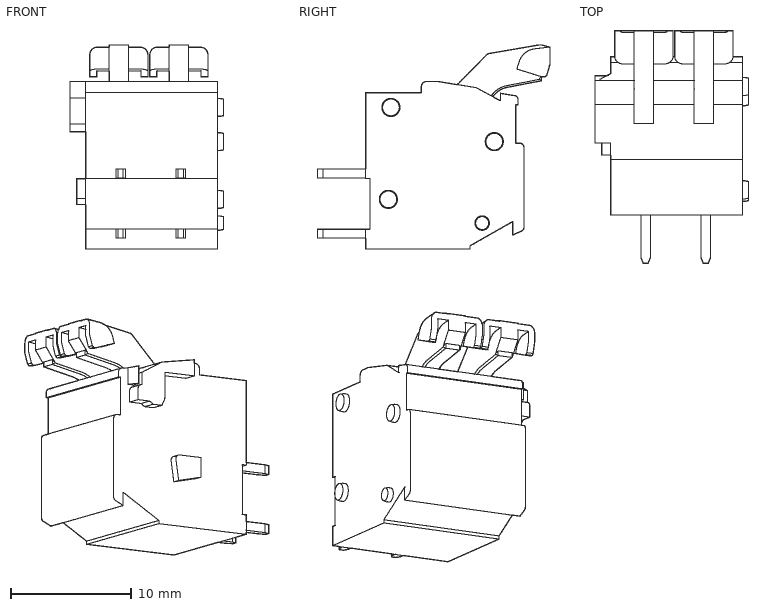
import cadquery as cq


body_width = 11.0
deck_height = 13.05
ridge_height = 13.97
ridge_radius = 0.47
ridge_back = 4.63
ridge_front = 6.0
roof_bend = (9.2, 13.45)
roof_foot = (11.22, 12.36)
lip_top = 12.98
lip_front = 12.71
lip_radius = 0.39
lip_bottom = 12.02
neck_front = 12.52
belly_front = 13.2
belly_top = 8.84
belly_radius = 0.39
belly_bottom = 1.76
hook_chin = (12.93, 1.47)
hook_tip = (12.25, 1.16)
hook_root_height = 2.29
base_front = 8.7
base_step = 0.27
recess_depth = 0.37
recess_bottom = 1.67
recess_top = 5.87

pole_count = 2
pole_pitch = 5.0
lever_center = 2.77
arm_width = 1.63
arm_edge_chamfer = 0.15
cap_width = 4.86
cap_wall = 0.6
cap_edge_radius = 0.68
cap_corner_radius = 1.53
cap_hollow_shift = (0.47, -0.55)
lever_end = 15.37
lever_peak = (14.57, 17.04)
lever_peak_radius = 0.72
lever_knee = (10.17, 16.28)
lever_knee_radius = 0.43
lever_elbow = (11.0, 13.31)
lever_elbow_radius = 1.86

pin_center = 2.93
pin_width = 0.81
pin_thickness = 0.75
pin_length = 4.01
pin_taper_length = 0.48
pin_tip_width = 0.43
pin_heights = (1.3, 1.3 + pole_pitch)
pin_embed = 0.78

ear_width = 1.3
ear_back = ridge_front
ear_bottom = 9.77
gusset_width = 0.87
gusset_bottom = 11.5
tab_width = 0.74
nub_length = 0.48
nub_straight = 0.2
nub_draft = 0.05
large_nub_radius = 0.75
small_nub_radius = 0.6
nubs = (
    (2.11, 11.8, large_nub_radius),
    (10.72, 8.95, large_nub_radius),
    (1.9, 4.15, large_nub_radius),
    (9.7, 2.17, small_nub_radius),
)


def side_plane(x):
    """YZ sketch plane at the given X; local x is Y and local y is Z."""
    return cq.Workplane("YZ", origin=(x, 0, 0))


def edges_centered_in(y_range, z_range):
    """Selector for edges whose center lies in the given Y and Z ranges."""
    return cq.selectors.BoxSelector(
        (-body_width, y_range[0], z_range[0]),
        (2 * body_width, y_range[1], z_range[1]),
    )


def make_housing():
    lip_round_start = (12.29, 12.81)
    return (
        side_plane(0)
        .lineTo(0, recess_bottom)
        .lineTo(recess_depth, recess_bottom)
        .lineTo(recess_depth, recess_top)
        .lineTo(0, recess_top)
        .lineTo(0, deck_height)
        .lineTo(ridge_back, deck_height)
        .lineTo(ridge_back, ridge_height - ridge_radius)
        .radiusArc((ridge_back + ridge_radius, ridge_height), ridge_radius)
        .lineTo(ridge_front, ridge_height)
        .lineTo(*roof_bend)
        .lineTo(*roof_foot)
        .lineTo(roof_foot[0], lip_top)
        .lineTo(*lip_round_start)
        .radiusArc((lip_front, lip_round_start[1] - lip_radius), lip_radius)
        .lineTo(lip_front, lip_bottom)
        .lineTo(neck_front, lip_bottom)
        .lineTo(neck_front, belly_top)
        .lineTo(belly_front - belly_radius, belly_top)
        .radiusArc((belly_front, belly_top - belly_radius), belly_radius)
        .lineTo(belly_front, belly_bottom)
        .radiusArc(hook_chin, belly_radius)
        .lineTo(*hook_tip)
        .lineTo(hook_tip[0], hook_root_height)
        .lineTo(base_front, base_step)
        .lineTo(base_front, 0)
        .close()
        .extrude(body_width)
    )


def make_ear():
    """Side extension of the roof, with a leg reaching down beside the neck."""
    leg_back = 8.91
    leg_front = 11.6
    floor = 12.6
    leg_bottom = 10.0
    leg_radius = leg_front - roof_foot[0]
    leg_shoulder = 10.95
    return (
        side_plane(-ear_width)
        .moveTo(ear_back, floor)
        .lineTo(ear_back, ridge_height)
        .lineTo(*roof_bend)
        .lineTo(*roof_foot)
        .lineTo(roof_foot[0], leg_shoulder + leg_radius)
        .radiusArc((leg_front, leg_shoulder), leg_radius)
        .lineTo(leg_front, leg_bottom)
        .lineTo(10.47, leg_bottom)
        .lineTo(10.12, ear_bottom)
        .lineTo(9.25, ear_bottom)
        .lineTo(leg_back, 10.43)
        .lineTo(leg_back, floor)
        .close()
        .extrude(ear_width)
    )


def make_gusset(housing):
    """Small wedge that carries the lip out behind the ear, with its top in line with the lip."""
    root = (0, 11.78)
    tip = (-gusset_width, 11.32)
    wedge = (
        cq.Workplane("XY", origin=(0, 0, gusset_bottom))
        .polyline([root, tip, (-gusset_width, roof_foot[0]), (0, roof_foot[0])])
        .close()
        .extrude(lip_top - gusset_bottom)
    )
    return wedge.intersect(housing.translate((-body_width, 0, 0)))


def make_tab():
    """Lug on the left wall with one rounded upper corner."""
    back = 5.0
    corner_radius = 0.37
    return (
        side_plane(-tab_width)
        .moveTo(back, recess_top)
        .lineTo(back, 4.2)
        .lineTo(7.2, 3.7)
        .lineTo(7.48, 5.47)
        .radiusArc((7.11, recess_top), -corner_radius)
        .close()
        .extrude(tab_width)
    )


def make_nub(y, z, radius):
    straight = side_plane(body_width).center(y, z).circle(radius).extrude(nub_straight)
    tapered = (
        side_plane(body_width + nub_straight)
        .center(y, z)
        .circle(radius)
        .workplane(offset=nub_length - nub_straight)
        .circle(radius - nub_draft)
        .loft()
    )
    return straight.union(tapered)


def make_pin(x, z):
    half = pin_width / 2
    half_tip = pin_tip_width / 2
    shoulder = pin_taper_length - pin_length
    return (
        cq.Workplane("XY", origin=(x, 0, z - pin_thickness / 2))
        .polyline([
            (-half, pin_embed),
            (-half, shoulder),
            (-half_tip, -pin_length),
            (half_tip, -pin_length),
            (half, shoulder),
            (half, pin_embed),
        ])
        .close()
        .extrude(pin_thickness)
    )


def make_arm(x):
    """Bent lever arm; its root is sunk into the roof."""
    underside_end = (14.65, 14.01)
    tip = (lever_end, 16.82)
    root_back = (7.17, 13.24)
    root_front = (10.31, 12.25)
    arm = (
        side_plane(x - arm_width / 2)
        .moveTo(*tip)
        .lineTo(*lever_peak)
        .lineTo(*lever_knee)
        .lineTo(*root_back)
        .lineTo(*root_front)
        .lineTo(*lever_elbow)
        .lineTo(*underside_end)
        .lineTo(underside_end[0], 14.42)
        .lineTo(lever_end, 15.39)
        .close()
        .extrude(arm_width)
    )
    bends = (
        (lever_peak, lever_peak_radius),
        (lever_knee, lever_knee_radius),
        (lever_elbow, lever_elbow_radius),
    )
    for corner, radius in bends:
        nearest = cq.selectors.NearestToPointSelector((x, *corner))
        arm = arm.edges("|X").edges(nearest).fillet(radius)
    underside = edges_centered_in((root_front[0], 14.73), (root_front[1], 14.35))
    return arm.faces("<X or >X").edges(underside).chamfer(arm_edge_chamfer)


def make_cap_block(x, width):
    """Solid finger cap of the given width, with its large top corner rounded."""
    corner = (13.08, 16.55)
    block = (
        side_plane(x - width / 2)
        .polyline([
            (15.21, 16.82),
            corner,
            (12.6, 15.0),
            (14.65, 14.36),
            (14.95, 14.35),
            (15.1, 14.48),
            (lever_end, 15.39),
            (lever_end, 16.78),
        ])
        .close()
        .extrude(width)
    )
    nearest = cq.selectors.NearestToPointSelector((x, *corner))
    return block.edges("|X").edges(nearest).fillet(cap_corner_radius)


def make_cap(x):
    """Finger cap: rounded over the outside, hollow and open underneath and at the far end."""
    outer_edges = edges_centered_in((12.6, 15.12), (14.92, 17.05))
    cap = make_cap_block(x, cap_width).faces("<X or >X").edges(outer_edges).fillet(cap_edge_radius)
    hollow = make_cap_block(x, cap_width - 2 * cap_wall).translate((0, *cap_hollow_shift))
    return cap.cut(hollow)


housing = make_housing()
result = housing.union(make_ear()).union(make_gusset(housing)).union(make_tab())

for y, z, radius in nubs:
    result = result.union(make_nub(y, z, radius))

for pole in range(pole_count):
    offset = pole * pole_pitch
    result = result.union(make_cap(lever_center + offset).union(make_arm(lever_center + offset)))
    for height in pin_heights:
        result = result.union(make_pin(pin_center + offset, height))